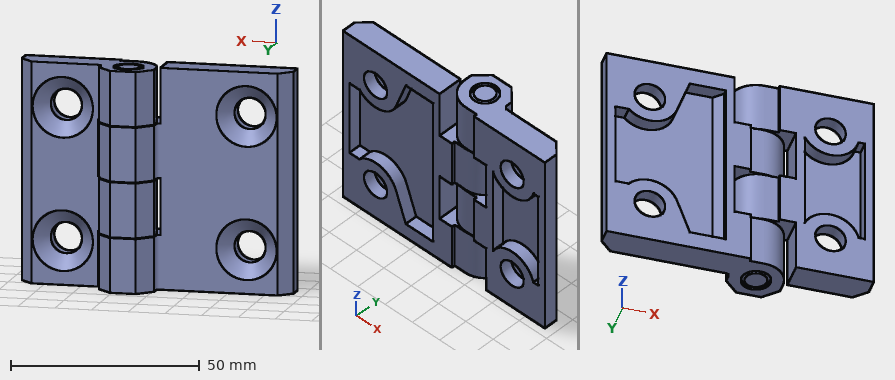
import cadquery as cq
import math

length = 74.0
height = 60.0
plate_thickness = 8.0
outer_chamfer = 3.5

axis_x = 43.95
axis_y = 8.5
pin_radius = 4.0
pin_chamfer = 0.95

knuckle_radius = 7.5
knuckle_top_y = 15.0
knuckle_chamfer = 4.0
relief_half_width = 4.0
relief_depth = axis_y - knuckle_radius
knuckle_count = 4
axial_gap = 0.2
radial_gap = 1.0
knuckle_height = (height - (knuckle_count - 1) * axial_gap) / knuckle_count
knuckle_pitch = knuckle_height + axial_gap
leaf_edge = knuckle_radius + radial_gap

hole_radius = 4.2
hole_inset = 12.0
boss_radius = 8.0
countersink_depth = 4.0

pocket_depth = 4.0
rim = 2.45
wide_pocket_end_margin = 4.95
wide_pocket_outer_half_height = 12.6
pocket_bevel = 2.5
flank_angle = math.radians(20)
narrow_pocket_half_height = 16.05

LEFT = -1
RIGHT = 1
left_span = axis_x
right_span = length - axis_x

mid_z = height / 2
hole_rise = mid_z - hole_inset


def axis_plane(z):
    """XY workplane at height z, with its origin on the hinge axis line and at the -Y face."""
    return cq.Workplane("XY", origin=(axis_x, 0, z))


def leaf_plate(side, span):
    """Flat part of a leaf, from its edge beside the knuckles to its free edge."""
    return (
        axis_plane(0)
        .moveTo(side * leaf_edge, 0)
        .lineTo(side * span, 0)
        .lineTo(side * span, plate_thickness - outer_chamfer)
        .lineTo(side * (span - outer_chamfer), plate_thickness)
        .lineTo(side * leaf_edge, plate_thickness)
        .close()
        .extrude(height)
    )


def knuckle(side, index):
    """One knuckle with the neck that joins it to its plate; index 0 is the lowest."""
    shoulder_y = knuckle_top_y - knuckle_chamfer
    crown = knuckle_radius - knuckle_chamfer
    arc_offset = knuckle_radius * math.sqrt(0.5)
    return (
        axis_plane(index * knuckle_pitch)
        .moveTo(side * leaf_edge, 0)
        .lineTo(side * relief_half_width, 0)
        .lineTo(side * relief_half_width, relief_depth)
        .lineTo(0, relief_depth)
        .threePointArc((-side * arc_offset, axis_y - arc_offset), (-side * knuckle_radius, axis_y))
        .lineTo(-side * knuckle_radius, shoulder_y)
        .lineTo(-side * crown, knuckle_top_y)
        .lineTo(side * crown, knuckle_top_y)
        .lineTo(side * knuckle_radius, shoulder_y)
        .lineTo(side * knuckle_radius, plate_thickness + radial_gap)
        .radiusArc((side * leaf_edge, plate_thickness), -side * radial_gap)
        .close()
        .extrude(knuckle_height)
    )


def cylinder_along_y(x, z, radius, depth):
    """Cylinder from the -Y face into the leaf."""
    circle = cq.Workplane("XZ", origin=(x, 0, z)).circle(radius)
    return circle.extrude(-depth)


def screw_hole(x, z):
    """Through hole with a countersink in the +Y face."""
    bore = cylinder_along_y(x, z, hole_radius, plate_thickness)
    mouth = (
        cq.Workplane("XZ", origin=(x, plate_thickness, z))
        .circle(hole_radius + countersink_depth)
        .extrude(countersink_depth, taper=45)
    )
    return bore.union(mouth)


def leaf_blank(side, span, first_knuckle):
    """Plate with every second knuckle, bored for the pin and drilled for the screws."""
    leaf = leaf_plate(side, span)
    for index in range(first_knuckle, knuckle_count, 2):
        leaf = leaf.union(knuckle(side, index))
    leaf = leaf.cut(axis_plane(0).center(0, axis_y).circle(pin_radius).extrude(height))
    hole_x = axis_x + side * (span - hole_inset)
    for rise in (-hole_rise, hole_rise):
        leaf = leaf.cut(screw_hole(hole_x, mid_z + rise))
    return leaf


def leave_bosses(pocket, hole_x):
    """Take the round bosses about the screw holes out of a pocket volume."""
    for rise in (-hole_rise, hole_rise):
        pocket = pocket.cut(cylinder_along_y(hole_x, mid_z + rise, boss_radius, pocket_depth))
    return pocket


def wide_pocket():
    """Pocket of the left leaf, with flanks tangent to the bosses and a bevelled inner wall."""
    inner_x = axis_x - leaf_edge - rim
    half_height = mid_z - wide_pocket_end_margin
    tangent_x = hole_inset + boss_radius * math.cos(flank_angle)
    tangent_rise = hole_rise - boss_radius * math.sin(flank_angle)
    flank_end_x = tangent_x + (half_height - tangent_rise) * math.tan(flank_angle)
    outer_rise = wide_pocket_outer_half_height
    outline = [
        (rim, -outer_rise),
        (hole_inset, -outer_rise),
        (tangent_x, -tangent_rise),
        (flank_end_x, -half_height),
        (inner_x, -half_height),
        (inner_x, half_height),
        (flank_end_x, half_height),
        (tangent_x, tangent_rise),
        (hole_inset, outer_rise),
        (rim, outer_rise),
    ]
    pocket = cq.Workplane("XZ", origin=(0, 0, mid_z)).polyline(outline).close().extrude(-pocket_depth)
    pocket = leave_bosses(pocket, hole_inset)
    bevel = (
        cq.Workplane("XY")
        .moveTo(inner_x, pocket_depth - pocket_bevel)
        .lineTo(inner_x, pocket_depth)
        .lineTo(inner_x - pocket_bevel, pocket_depth)
        .close()
        .extrude(height)
    )
    return pocket.cut(bevel)


def narrow_pocket():
    """Pocket of the right leaf, a rectangle bounded by the bosses."""
    inner_x = axis_x + leaf_edge + rim
    outer_x = length - rim
    pocket = (
        cq.Workplane("XZ", origin=((inner_x + outer_x) / 2, 0, mid_z))
        .rect(outer_x - inner_x, 2 * narrow_pocket_half_height)
        .extrude(-pocket_depth)
    )
    return leave_bosses(pocket, length - hole_inset)


def hinge_pin():
    """Full-height pin with chamfered ends."""
    return (
        axis_plane(0)
        .center(0, axis_y)
        .circle(pin_radius)
        .extrude(height)
        .faces("<Z or >Z")
        .chamfer(pin_chamfer)
    )


left_leaf = leaf_blank(LEFT, left_span, 0).cut(wide_pocket()).solids()
right_leaf = leaf_blank(RIGHT, right_span, 1).cut(narrow_pocket()).solids()
pin = hinge_pin().solids()

result = cq.Compound.makeCompound([left_leaf.val(), right_leaf.val(), pin.val()])